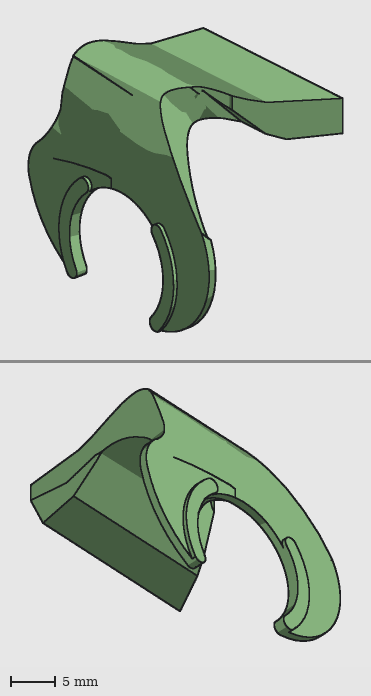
import cadquery as cq
import math


plate_thickness = 1.0
bore_radius = 8.0
bend_inside_z = 7.75
crease_z = bore_radius

pad_height = 0.53
pad_width = 1.83
left_pad_angles = (129.8, 210.7)
right_pad_angles = (39.2, -42.0)
trim_angle = 15.0

ridge_top_z = 20.52
wing_back_y = 22.57
wing_top_back_z = 17.05
wing_underside_z = 12.65
wing_tip_x = 12.4
wing_notch = (6.43, 11.2)
wing_bend_y = 16.77
neck_seam_x = -1.02
twist_end_x = -15.85
ridge_front = (2.75, 18.88)
ridge_middle = (3.9, 20.03)
ridge_back = (5.6, ridge_top_z)
wing_bend_top = (14.8, 17.55)
neck_front = [(0.15, 11.05), (0.6, 13.65), (1.12, 15.62), (2.1, 17.9)]
arch_start = (12.1, 14.75)
arch_top = (8.63, 15.1)

shoulder = (14.0, crease_z)
left_side_front_x = -11.85
left_side_front_y = 3.73
left_side_back_x = -11.52
waist_x = 4.0
waist_front_y = 6.9
waist_back_y = 8.07

relief_slope = 1.1
relief_reach = 3.1
relief_end_y = 10.55

margin = 18.63

pad_middle_radius = bore_radius + pad_width / 2
pad_outer_radius = bore_radius + pad_width


def polar(radius, angle, center=(0.0, 0.0)):
    """Point at an angle in degrees around a center."""
    a = math.radians(angle)
    return (center[0] + radius * math.cos(a), center[1] + radius * math.sin(a))


def bent_sheet():
    """The part's YZ section, straight along X: plate, neck, ridge and wing in one bent sheet."""
    bottom_z = -margin
    return (
        cq.Workplane("YZ", origin=(-margin, 0, 0))
        .moveTo(0, bottom_z)
        .lineTo(0, crease_z)
        .spline(neck_front + [ridge_front], tangents=[(0, 1), (0.8, 1)], includeCurrent=True)
        .threePointArc(ridge_middle, ridge_back)
        .spline(
            [(9.25, 19.65), (11.77, 18.57), wing_bend_top],
            tangents=[(1, -0.02), (1, -0.25)],
            includeCurrent=True,
        )
        .lineTo(wing_back_y, wing_top_back_z)
        .lineTo(wing_back_y, wing_underside_z)
        .lineTo(wing_bend_y, wing_underside_z)
        .lineTo(*arch_start)
        .threePointArc((10.35, 15.15), arch_top)
        .threePointArc((3.48, 12.45), (plate_thickness, bend_inside_z))
        .lineTo(plate_thickness, bottom_z)
        .close()
        .extrude(2 * margin)
    )


def neck_set_back():
    """Cut that sets the neck's front back more and more to the left of the seam."""
    def section(x, front_points, top):
        return (
            cq.Workplane("YZ", origin=(x, 0, 0))
            .moveTo(0, crease_z)
            .spline(front_points + [top], tangents=[(0, 1), (0.8, 1)], includeCurrent=True)
            .lineTo(-margin, top[1])
            .lineTo(-margin, crease_z)
            .close()
            .val()
        )

    set_back_front = [(0.53, 11.05), (1.55, 13.65), (2.02, 15.62), (2.73, 17.7)]
    sections = [
        section(twist_end_x, set_back_front, (3.7, 19.85)),
        section(neck_seam_x, neck_front, ridge_front),
    ]
    return cq.Workplane(cq.Solid.makeLoft(sections, True))


def horn_cap(angle, outline_angle):
    """Outline point, tip and bore point of the rounded end of a horn."""
    center = polar(pad_middle_radius, angle)
    tip_direction = angle + math.copysign(90, outline_angle)
    return (
        polar(pad_width / 2, outline_angle, center),
        polar(pad_width / 2, tip_direction, center),
        polar(bore_radius, angle),
    )


def front_outline():
    """Horns around the bore with the left flank; open to the upper right."""
    right_outer, right_tip, right_inner = horn_cap(right_pad_angles[1], -75)
    left_outer, left_tip, left_inner = horn_cap(left_pad_angles[1], 225)
    return (
        cq.Workplane("XZ")
        .moveTo(*shoulder)
        .threePointArc((15.35, 2.95), right_outer)
        .threePointArc(right_tip, right_inner)
        .threePointArc((0, bore_radius), left_inner)
        .threePointArc(left_tip, left_outer)
        .threePointArc((-13.15, -0.85), (-15.6, 4.35))
        .threePointArc((-15.52, 6.8), (-13.85, 9.28))
        .spline([(-12.23, 11.58), (-11.65, 13.65)], includeCurrent=True)
        .lineTo(left_side_front_x, 15.52)
        .lineTo(left_side_front_x, margin + crease_z)
        .lineTo(shoulder[0], margin + crease_z)
        .close()
        .extrude(2 * margin, both=True)
    )


def top_outline():
    """Left side and wing end seen from above; open to the right ahead of the waist."""
    return (
        cq.Workplane("XY")
        .moveTo(-margin, -margin)
        .lineTo(-margin, left_side_front_y)
        .lineTo(left_side_front_x, left_side_front_y)
        .lineTo(left_side_back_x, wing_back_y)
        .lineTo(wing_tip_x, wing_back_y)
        .lineTo(*wing_notch)
        .threePointArc((4.53, 9.8), (waist_x, waist_back_y))
        .lineTo(waist_x, waist_front_y)
        .lineTo(margin, waist_front_y)
        .lineTo(margin, -margin)
        .close()
        .extrude(2 * margin, both=True)
    )


def flank_cut():
    """Curved right flank of the neck, cut square to a plane tilted 45 degrees."""
    tilted = cq.Plane(origin=(0, 0, 0), xDir=(1, 0, 0), normal=(0, -1, 1))
    flank = [
        (shoulder[0], crease_z),
        (10.35, 12.85),
        (6.43, 17.98),
        (3.95, 21.45),
        (3.0, 24.05),
        (3.65, 26.25),
        (4.1, 28.25),
    ]
    points = [(x, depth / math.sqrt(2)) for x, depth in flank]
    return (
        cq.Workplane(tilted)
        .moveTo(*points[0])
        .spline(points[1:], includeCurrent=True)
        .lineTo(margin, points[-1][1])
        .lineTo(margin, points[0][1])
        .close()
        .extrude(2 * margin, both=True)
    )


def wing_relief():
    """Sloped relief under the wing's left edge, fading out toward the neck."""
    def section(x, drop):
        edge = [(wing_back_y, 15.18), (wing_bend_y, 14.15), (arch_start[0], 15.3), (relief_end_y, 15.18)]
        return (
            cq.Workplane("YZ", origin=(x, 0, 0))
            .polyline([(y, z - drop) for y, z in edge] + [(relief_end_y, 0), (wing_back_y, 0)])
            .close()
            .val()
        )

    sections = [
        section(left_side_front_x, 0),
        section(left_side_front_x + relief_reach, relief_reach * relief_slope),
    ]
    return cq.Workplane(cq.Solid.makeLoft(sections, True))


def pad_blank(angles):
    """Pad round at its upper end; it runs long at the bore and horn tip, to be trimmed there."""
    start, horn_end = angles
    end = horn_end + math.copysign(trim_angle, horn_end - start)
    middle = (start + end) / 2
    turn = math.copysign(90, end - start)
    cap_tip = polar(pad_width / 2, start - turn, polar(pad_middle_radius, start))
    trim_radius = bore_radius - pad_width / 2
    return (
        cq.Workplane("XZ", origin=(0, plate_thickness / 2, 0))
        .moveTo(*polar(pad_outer_radius, start))
        .threePointArc(polar(pad_outer_radius, middle), polar(pad_outer_radius, end))
        .lineTo(*polar(trim_radius, end))
        .threePointArc(polar(trim_radius, middle), polar(trim_radius, start))
        .lineTo(*polar(bore_radius, start))
        .threePointArc(cap_tip, polar(pad_outer_radius, start))
        .close()
        .extrude(plate_thickness / 2 + pad_height)
    )


def flat_patch():
    """Thin strip above the bore where the flat plate face runs past the crease."""
    return (
        cq.Workplane("XZ")
        .moveTo(-11.3, crease_z)
        .threePointArc((-6.83, 8.85), (-2.33, 9.25))
        .lineTo(-1.45, 9.13)
        .lineTo(-1.45, crease_z)
        .close()
        .extrude(-plate_thickness)
    )


body = bent_sheet().cut(neck_set_back()).union(flat_patch())
for pad_angles in (left_pad_angles, right_pad_angles):
    body = body.union(pad_blank(pad_angles))
body = body.intersect(front_outline()).intersect(top_outline())
result = body.cut(flank_cut()).cut(wing_relief())